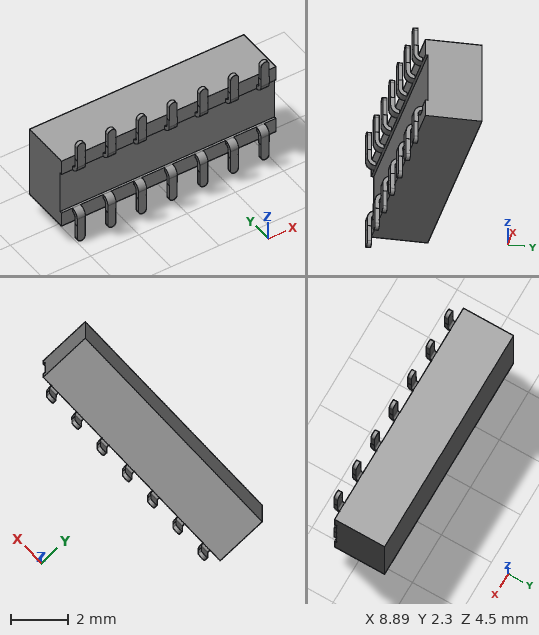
import cadquery as cq

length = 8.89
body_depth = 2.0
body_height = 3.005
channel_height = 1.78
channel_depth = 0.09

leads_per_row = 7
pitch = length / leads_per_row
row_shift = -0.013
root_width = 0.34
tip_width = 0.33
lead_thickness = 0.15
lead_standoff = 0.3
lead_span = 4.5

lead_root_z = channel_height / 2
width_step_z = body_height / 2
lead_tip_z = lead_span / 2
outer_bend_radius = lead_standoff
inner_bend_radius = lead_standoff - lead_thickness
bend_end_z = lead_root_z + outer_bend_radius


def make_housing():
    """Block with the channel cut along its whole length."""
    block = cq.Workplane("XY").box(length, body_depth, body_height).translate((0, body_depth / 2, 0))
    channel = cq.Workplane("XY").box(length, 2 * channel_depth, channel_height)
    return block.cut(channel)


def make_bent_strip():
    """Strip that leaves the housing beside the channel and bends upward."""
    return (
        cq.Workplane("YZ")
        .moveTo(0, lead_root_z)
        .radiusArc((-lead_standoff, bend_end_z), outer_bend_radius)
        .lineTo(-lead_standoff, lead_tip_z)
        .lineTo(-inner_bend_radius, lead_tip_z)
        .lineTo(-inner_bend_radius, bend_end_z)
        .radiusArc((0, lead_root_z + lead_thickness), -inner_bend_radius)
        .close()
        .extrude(root_width / 2, both=True)
    )


def make_lead_outline():
    """Front outline of a lead: a wider root, then a narrower shank with a round tip."""
    root_half = root_width / 2
    tip_half = tip_width / 2
    return (
        cq.Workplane("XZ")
        .moveTo(-root_half, lead_root_z)
        .lineTo(-root_half, width_step_z)
        .lineTo(-tip_half, width_step_z)
        .lineTo(-tip_half, lead_tip_z - tip_half)
        .threePointArc((0, lead_tip_z), (tip_half, lead_tip_z - tip_half))
        .lineTo(tip_half, width_step_z)
        .lineTo(root_half, width_step_z)
        .lineTo(root_half, lead_root_z)
        .close()
        .extrude(lead_standoff)
    )


upper_lead = make_bent_strip().intersect(make_lead_outline())
lead_pair = upper_lead.union(upper_lead.mirror("XY"))

result = make_housing()
for index in range(leads_per_row):
    lead_x = (index - (leads_per_row - 1) / 2) * pitch + row_shift
    result = result.union(lead_pair.translate((lead_x, 0, 0)))